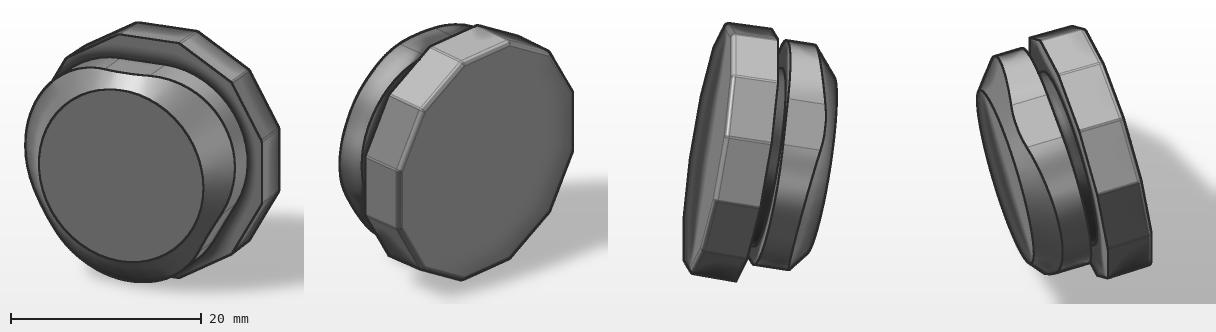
import cadquery as cq
import math

neck_diameter = 19.0
neck_length = 1.5
head_length = 5.5
lobe_offset = 3.0
cone_depth = 2.5
flange_width = 26.05
flange_length = 5.0
flange_sides = 12
flange_draft = 1.0
flange_fillet = 0.5

neck_radius = neck_diameter / 2
lobe_angles = (30, 150, 270)
flange_front = head_length + neck_length
cone_margin = 0.25


def along_axis(start):
    """Plane facing +Y at the given distance along the axis, with local y pointing up."""
    return cq.Workplane(cq.Plane(origin=(0, start, 0), xDir=(-1, 0, 0), normal=(0, 1, 0)))


def radial(distance, angle):
    """Point at the given distance and angle (degrees) from the axis."""
    return (distance * math.cos(math.radians(angle)), distance * math.sin(math.radians(angle)))


def lobe_point(lobe_angle, direction):
    """Point on the arc of one lobe, in the given direction from the lobe centre."""
    centre = radial(lobe_offset, lobe_angle)
    arm = radial(neck_radius, direction)
    return (centre[0] + arm[0], centre[1] + arm[1])


def make_head():
    """Three-lobed head: round lobes joined by tangent flats, bevelled by a cone at the front."""
    half_sweep = 180 / len(lobe_angles)
    outline = along_axis(0).moveTo(*lobe_point(lobe_angles[0], lobe_angles[0] - half_sweep))
    for angle in lobe_angles:
        if angle != lobe_angles[0]:
            outline = outline.lineTo(*lobe_point(angle, angle - half_sweep))
        outline = outline.threePointArc(lobe_point(angle, angle), lobe_point(angle, angle + half_sweep))
    prism = outline.close().extrude(head_length)

    cone_end = cone_depth * (lobe_offset + cone_margin) / lobe_offset
    cone_radius = neck_radius + lobe_offset + cone_margin
    half_section = [
        (0, 0),
        (neck_radius, 0),
        (cone_radius, cone_end),
        (cone_radius, head_length),
        (0, head_length),
    ]
    envelope = cq.Workplane("XY").polyline(half_section).close().revolve(360, (0, 0, 0), (0, 1, 0))
    return prism.intersect(envelope)


def make_neck():
    """Round neck between head and flange."""
    return along_axis(head_length).circle(neck_radius).extrude(neck_length)


def make_flange():
    """Drafted twelve-sided flange with rounded corners and a rounded back edge."""
    half_side_angle = 180 / flange_sides
    corner_radius = flange_width / 2 / math.cos(math.radians(half_side_angle))
    corners = [radial(corner_radius, half_side_angle * (2 * i + 1)) for i in range(flange_sides)]
    flange = along_axis(flange_front).polyline(corners).close().extrude(flange_length, taper=flange_draft)
    side_corners = flange.edges("not(#Y)")
    flange = side_corners.fillet(flange_fillet)
    return flange.faces(">Y").edges().fillet(flange_fillet)


result = make_head().union(make_neck()).union(make_flange())